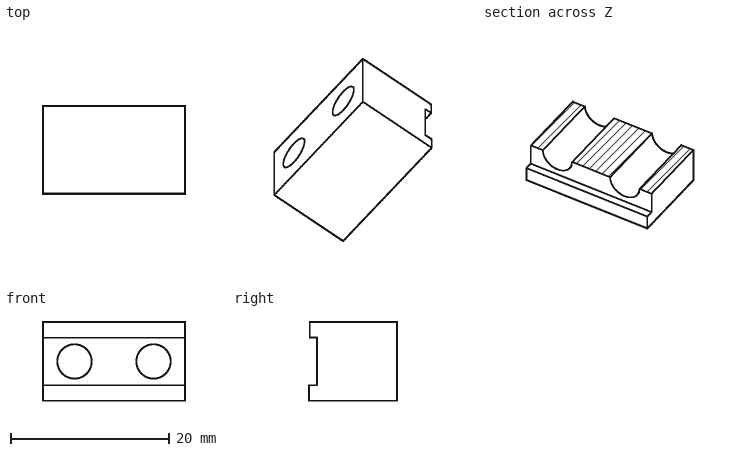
import cadquery as cq

length = 18.0
height = 10.0
lower_depth = 11.15
upper_depth = 11.07
web_depth = 10.13

lip_height = 2.0

hole_diameter = 4.32
hole_spacing = 10.0


def make_block():
    """Extrude the grooved side profile along X, with its back face at Y = 0."""
    groove_bottom = lip_height
    groove_top = height - lip_height
    profile = [
        (0, 0),
        (-lower_depth, 0),
        (-lower_depth, groove_bottom),
        (-web_depth, groove_bottom),
        (-web_depth, groove_top),
        (-upper_depth, groove_top),
        (-upper_depth, height),
        (0, height),
    ]
    block = cq.Workplane("YZ").polyline(profile).close().extrude(length / 2, both=True)
    return block.translate((0, 0, -height / 2))


def make_holes():
    """Two cylinders through the full depth, on the groove's centre line."""
    centres = [(-hole_spacing / 2, 0), (hole_spacing / 2, 0)]
    return cq.Workplane("XZ").pushPoints(centres).circle(hole_diameter / 2).extrude(lower_depth)


result = make_block().cut(make_holes())